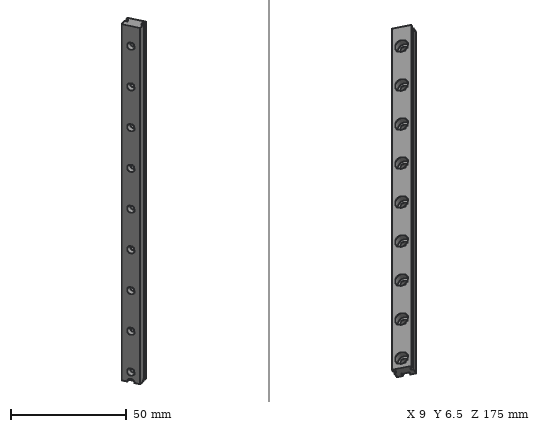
import cadquery as cq

width = 9.0
height = 6.5
length = 175.0
base_chamfer = 0.2

groove_depth = 1.0
groove_width = 1.4
groove_offset = 1.5

hole_diameter = 3.5
head_diameter = 6.0
head_depth = 3.5
hole_count = 9
hole_pitch = 20.0
first_hole_z = 5.0

notch_width = 3.5
notch_depth = 1.8


def make_body():
    body = cq.Workplane("XY").box(width, height, length, centered=(True, True, False))
    return body.faces("<Y").edges("|Z").chamfer(base_chamfer)


def make_groove(side):
    groove_y = height / 2 - groove_offset - groove_width / 2
    return (
        cq.Workplane("XY")
        .center(side * width / 2, groove_y)
        .rect(2 * groove_depth, groove_width)
        .extrude(length)
    )


def make_mounting_hole(z):
    top = cq.Workplane("XZ", origin=(0, height / 2, z))
    bore = top.circle(hole_diameter / 2).extrude(height)
    head = top.circle(head_diameter / 2).extrude(head_depth)
    return bore.union(head)


def make_notch():
    radius = notch_width / 2
    return (
        cq.Workplane("XZ", origin=(0, -height / 2, 0))
        .moveTo(-radius, 0)
        .threePointArc((0, radius), (radius, 0))
        .close()
        .extrude(-notch_depth)
    )


result = make_body()
for side in (-1, 1):
    result = result.cut(make_groove(side))
for index in range(hole_count):
    result = result.cut(make_mounting_hole(first_hole_z + index * hole_pitch))
result = result.cut(make_notch())